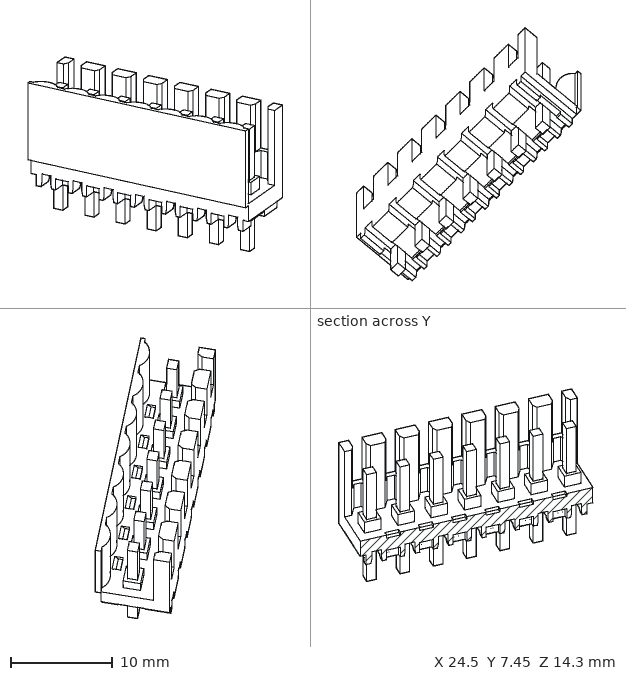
import cadquery as cq

PIN_COUNT = 7
PITCH = 3.5
PIN_SIDE = 1.03
PIN_TOP = 6.8
PIN_BOTTOM = -6.27

LENGTH = 24.5
HALF_LENGTH = LENGTH / 2
HOUSING_TOP = 7.99
HOUSING_BOTTOM = -3.09
BACK_Y = 3.95
BASE_FRONT_Y = -2.92

BACK_WALL_INNER_Y = 2.33
GROOVE_BOTTOM_Y = 3.35
GROOVE_MOUTH_WIDTH = 1.98
GROOVE_BOTTOM_WIDTH = 0.75
SLOT_WIDTH = 1.4
WEB_TOP = 2.9

FRONT_Y = -3.5
FRONT_WALL_INNER_Y = -3.06
FRONT_WALL_BOTTOM = -0.22
RIB_CREST_Y = -2.33
RIB_CHORD = 2.75

COLLAR_SIDE = 1.75
COLLAR_HEIGHT = 1.32

END_STEP_INSET = 0.61
END_STEP_Z = -1.9
CHANNEL_WIDTH = 2.72
CHANNEL_DEPTH = 0.51
PIN_NOTCH_WIDTH = 0.98
PIN_NOTCH_TOP = -1.7
FLARE_WIDTH = 1.2
FLARE_HEIGHT = 0.5

POCKET_WIDTH = 1.42
POCKET_BACK_Y = -1.5
POCKET_FRONT_Y = -2.33
POCKET_DEPTH = 0.37

pin_xs = [(i - (PIN_COUNT - 1) / 2) * PITCH for i in range(PIN_COUNT)]
mid_xs = [x + PITCH / 2 for x in pin_xs[:-1]]


def block(x0, x1, y0, y1, z0, z1):
    """Box between two opposite corners."""
    return cq.Workplane("XY").box(x1 - x0, y1 - y0, z1 - z0, centered=False).translate((x0, y0, z0))


def block_at(x, width, y0, y1, z0, z1):
    """Box centred on x along X."""
    return block(x - width / 2, x + width / 2, y0, y1, z0, z1)


def make_base():
    """Floor slab, stepped in at both ends, with a channel along the underside."""
    base = block_at(0, LENGTH, BASE_FRONT_Y, BACK_Y, END_STEP_Z, 0)
    foot_length = LENGTH - 2 * END_STEP_INSET
    foot = block_at(0, foot_length, BASE_FRONT_Y, BACK_Y, HOUSING_BOTTOM, END_STEP_Z)
    half_channel = CHANNEL_WIDTH / 2
    channel_top = HOUSING_BOTTOM + CHANNEL_DEPTH
    channel = block_at(0, LENGTH, -half_channel, half_channel, HOUSING_BOTTOM, channel_top)
    return base.union(foot.cut(channel))


def groove(x):
    """Tapered vertical groove in the inner face of the back wall."""
    half_mouth = GROOVE_MOUTH_WIDTH / 2
    half_bottom = GROOVE_BOTTOM_WIDTH / 2
    outline = [
        (x - half_mouth, BACK_WALL_INNER_Y),
        (x - half_bottom, GROOVE_BOTTOM_Y),
        (x + half_bottom, GROOVE_BOTTOM_Y),
        (x + half_mouth, BACK_WALL_INNER_Y),
    ]
    return cq.Workplane("XY").polyline(outline).close().extrude(HOUSING_TOP)


def make_back_wall():
    wall = block_at(0, LENGTH, BACK_WALL_INNER_Y, BACK_Y, 0, HOUSING_TOP)
    for x in pin_xs:
        slot = block_at(x, SLOT_WIDTH, BACK_WALL_INNER_Y, BACK_Y, WEB_TOP, HOUSING_TOP)
        wall = wall.cut(groove(x)).cut(slot)
    return wall


def rib(x):
    """Circular-segment rib on the inner face of the front wall."""
    half_chord = RIB_CHORD / 2
    return (
        cq.Workplane("XY")
        .moveTo(x - half_chord, FRONT_WALL_INNER_Y)
        .threePointArc((x, RIB_CREST_Y), (x + half_chord, FRONT_WALL_INNER_Y))
        .close()
        .extrude(HOUSING_TOP)
    )


def make_front_wall():
    """Front wall on a ledge of the base; its +X end is thickened back to the base front."""
    wall = block_at(0, LENGTH, FRONT_Y, FRONT_WALL_INNER_Y, FRONT_WALL_BOTTOM, HOUSING_TOP)
    ledge = block_at(0, LENGTH, FRONT_Y, BASE_FRONT_Y, FRONT_WALL_BOTTOM, 0)
    thick_end = block(pin_xs[-1], HALF_LENGTH, FRONT_WALL_INNER_Y, BASE_FRONT_Y, 0, HOUSING_TOP)
    wall = wall.union(ledge).union(thick_end)
    for x in pin_xs:
        wall = wall.union(rib(x))
    return wall


def collar(x):
    half_side = COLLAR_SIDE / 2
    return block_at(x, COLLAR_SIDE, -half_side, half_side, 0, COLLAR_HEIGHT)


def pin_notch(x):
    """Notch across the underside at a pin, flared towards the bottom."""
    half_width = PIN_NOTCH_WIDTH / 2
    half_flare = FLARE_WIDTH / 2
    flare_top = HOUSING_BOTTOM + FLARE_HEIGHT
    outline = [
        (x - half_flare, HOUSING_BOTTOM),
        (x - half_width, flare_top),
        (x - half_width, PIN_NOTCH_TOP),
        (x + half_width, PIN_NOTCH_TOP),
        (x + half_width, flare_top),
        (x + half_flare, HOUSING_BOTTOM),
    ]
    profile = cq.Workplane("XZ", origin=(0, BACK_Y, 0)).polyline(outline).close()
    return profile.extrude(BACK_Y - BASE_FRONT_Y)


def front_notch(x):
    """Notch in the base front, as high as the end steps and reaching back to the pocket back."""
    return block_at(x, POCKET_WIDTH, BASE_FRONT_Y, POCKET_BACK_Y, HOUSING_BOTTOM, END_STEP_Z)


def floor_pocket(x):
    """Shallow pocket whose front side is a 45 degree ramp."""
    outline = [
        (POCKET_FRONT_Y, 0),
        (POCKET_FRONT_Y + POCKET_DEPTH, -POCKET_DEPTH),
        (POCKET_BACK_Y, -POCKET_DEPTH),
        (POCKET_BACK_Y, 0),
    ]
    profile = cq.Workplane("YZ", origin=(x - POCKET_WIDTH / 2, 0, 0)).polyline(outline).close()
    return profile.extrude(POCKET_WIDTH)


def make_pin(x):
    """Straight square pin."""
    half_side = PIN_SIDE / 2
    return block_at(x, PIN_SIDE, -half_side, half_side, PIN_BOTTOM, PIN_TOP)


def make_housing():
    housing = make_base().union(make_back_wall()).union(make_front_wall())
    for x in pin_xs:
        housing = housing.union(collar(x)).cut(pin_notch(x)).cut(make_pin(x))
    for x in mid_xs:
        housing = housing.cut(front_notch(x)).cut(floor_pocket(x))
    return housing


housing = make_housing()
pins = [make_pin(x) for x in pin_xs]

result = cq.Compound.makeCompound([housing.val(), *[pin.val() for pin in pins]])